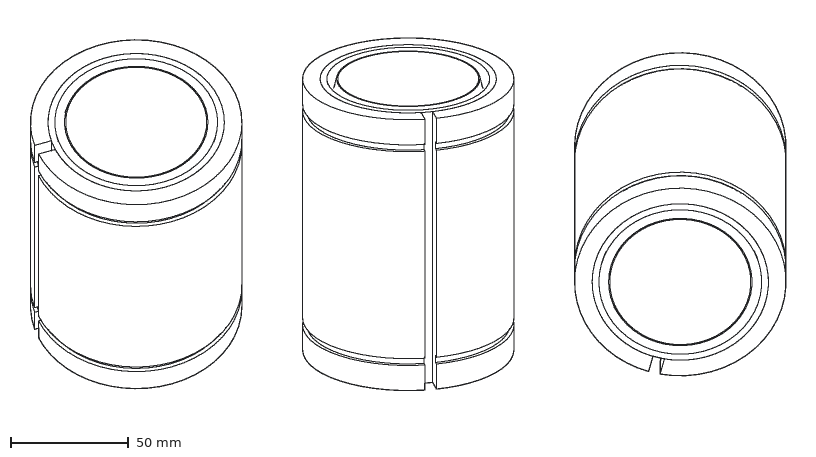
import cadquery as cq

length = 125.0
outer_radius = 45.0
sleeve_radius = 37.5
bore_radius = 30.0

ring_groove_radius = 43.2
ring_groove_width = 3.1
ring_groove_inset = 11.6

slit_width = 5.0

seal_rim_radius = 34.6
seal_floor_outer_radius = 33.9
seal_wall_depth = 5.5
seal_floor_depth = 6.2
lip_base_radius = 31.9
lip_tip_radius = 30.5

half_length = length / 2


def tube(outside, inside, height):
    """Tube on the Z axis, centred on the origin."""
    base = cq.Workplane("XY").workplane(offset=-height / 2)
    return base.circle(outside).circle(inside).extrude(height)


def make_housing():
    """Outer shell, open along one slit, with two retaining-ring grooves."""
    housing = tube(outer_radius, sleeve_radius, length)
    groove_z = half_length - ring_groove_inset - ring_groove_width / 2
    for z in (-groove_z, groove_z):
        groove = tube(outer_radius, ring_groove_radius, ring_groove_width)
        housing = housing.cut(groove.translate((0, 0, z)))
    slit = cq.Workplane("XY").box(
        slit_width, outer_radius, length, centered=(True, False, True)
    ).translate((0, -outer_radius, 0))
    return housing.cut(slit)


def make_seal_groove():
    """Rounded groove in the +Z end, leaving a tapered lip beside the bore."""
    wall_z = half_length - seal_wall_depth
    floor_middle = (seal_floor_outer_radius + lip_base_radius) / 2
    return (
        cq.Workplane("XZ")
        .moveTo(lip_tip_radius, half_length)
        .lineTo(seal_rim_radius, half_length)
        .lineTo(seal_floor_outer_radius, wall_z)
        .threePointArc((floor_middle, half_length - seal_floor_depth), (lip_base_radius, wall_z))
        .close()
        .revolve(360, (0, 0), (0, 1))
    )


def make_sleeve():
    """Inner liner with a seal groove and a thin lip at each end."""
    sleeve = tube(sleeve_radius, bore_radius, length)
    top_groove = make_seal_groove()
    return sleeve.cut(top_groove).cut(top_groove.mirror("XY"))


housing = make_housing()
sleeve = make_sleeve()

result = cq.Compound.makeCompound([housing.val(), sleeve.val()])